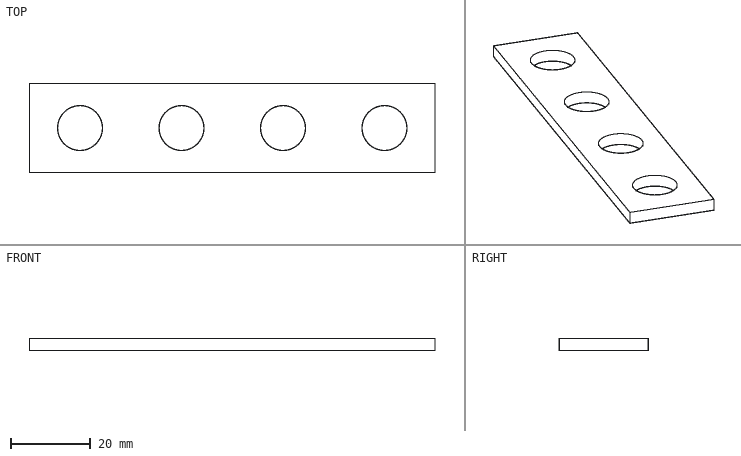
import cadquery as cq

length = 101.6
width = 22.4
thickness = 3

hole_count = 4
hole_diameter = 11.2
hole_pitch = length / hole_count

bar = cq.Workplane("XY").box(length, width, thickness)

result = (
    bar.faces(">Z")
    .workplane()
    .rarray(hole_pitch, 1, hole_count, 1)
    .hole(hole_diameter)
)